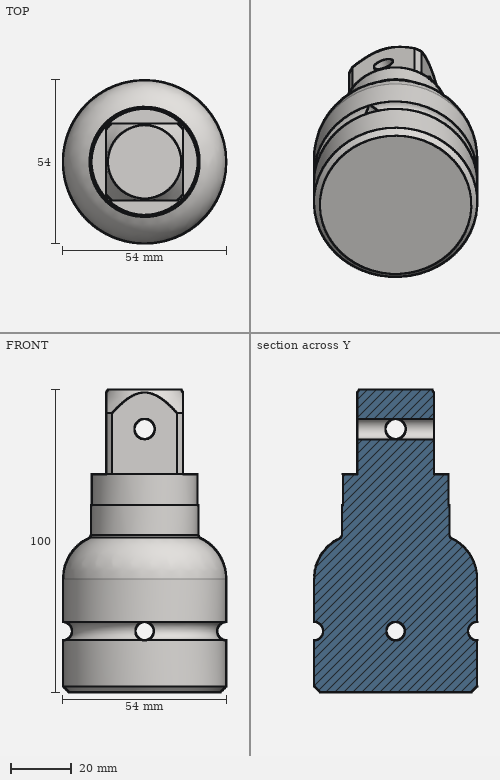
import cadquery as cq
import math

height = 100.0

body_radius = 27.0
base_chamfer = 2.0
dome_start_z = 37.4
dome_arc_radius = 15.0

groove_z = 20.2
groove_radius = 3.0
pin_hole_diameter = 2 * groove_radius

neck_radius = 17.8
neck_flare = 0.4
neck_flare_height = 0.8
neck_top_z = 61.8
collar_radius = 17.5
collar_top_z = 72.0

square_width = 25.4
square_corner_radius = 16.65
tip_radius = 12.1
tip_slope_angle = 60.0
drive_hole_diameter = 6.6
drive_hole_z = height - 13.1


def make_body():
    """Revolved socket body, dome, neck and collar."""
    flare_radius = neck_radius + neck_flare
    arc_center_r = body_radius - dome_arc_radius
    dome_end_z = dome_start_z + math.sqrt(dome_arc_radius**2 - (flare_radius - arc_center_r) ** 2)
    end_angle = math.acos((flare_radius - arc_center_r) / dome_arc_radius)
    dome_mid = (
        arc_center_r + dome_arc_radius * math.cos(end_angle / 2),
        dome_start_z + dome_arc_radius * math.sin(end_angle / 2),
    )
    return (
        cq.Workplane("XZ")
        .lineTo(body_radius - base_chamfer, 0)
        .lineTo(body_radius, base_chamfer)
        .lineTo(body_radius, dome_start_z)
        .threePointArc(dome_mid, (flare_radius, dome_end_z))
        .lineTo(neck_radius, dome_end_z + neck_flare_height)
        .lineTo(neck_radius, neck_top_z)
        .lineTo(collar_radius, neck_top_z)
        .lineTo(collar_radius, collar_top_z)
        .lineTo(0, collar_top_z)
        .close()
        .revolve(360, (0, 0, 0), (0, 1, 0))
    )


def make_groove():
    """Ring of round section, centred on the body wall."""
    return (
        cq.Workplane("XZ")
        .center(body_radius, groove_z)
        .circle(groove_radius)
        .revolve(360, (-body_radius, 0, 0), (-body_radius, 1, 0))
    )


def make_square_drive():
    """Square bar trimmed by a turned envelope that rounds its corners and tapers its tip."""
    drive_length = height - collar_top_z
    tip_height = (square_corner_radius - tip_radius) * math.tan(math.radians(tip_slope_angle))
    bar = (
        cq.Workplane("XY")
        .workplane(offset=collar_top_z)
        .rect(square_width, square_width)
        .extrude(drive_length)
    )
    envelope = (
        cq.Workplane("XZ")
        .moveTo(0, collar_top_z)
        .lineTo(square_corner_radius, collar_top_z)
        .lineTo(square_corner_radius, height - tip_height)
        .lineTo(tip_radius, height)
        .lineTo(0, height)
        .close()
        .revolve(360, (0, 0, 0), (0, 1, 0))
    )
    return bar.intersect(envelope)


def make_cross_hole(plane, diameter, z):
    """Hole through the whole part, normal to the given vertical plane."""
    return cq.Workplane(plane).center(0, z).circle(diameter / 2).extrude(body_radius, both=True)


result = make_body().union(make_square_drive())
result = result.cut(make_groove())
result = result.cut(make_cross_hole("XZ", pin_hole_diameter, groove_z))
for hole_plane in ("XZ", "YZ"):
    result = result.cut(make_cross_hole(hole_plane, drive_hole_diameter, drive_hole_z))